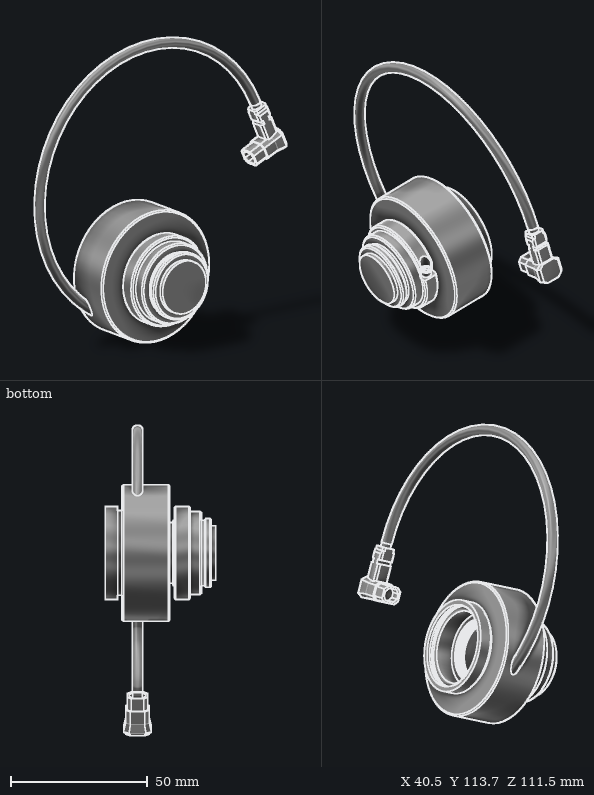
import cadquery as cq
import math


FRONT_COLLAR_END = 4.5
HOUSING_START = 6.1
HOUSING_END = 23.7
NECK_END = 24.3
CLAMP_START = 25.2
CLAMP_END = 31.2
REAR_BARREL_END = 35.3
RELIEF_END = 36.3
THREAD_END = 38.9
LENS_END = 40.5

COLLAR_R = 17.0
FRONT_NECK_R = 15.6
HOUSING_R = 25.0
REAR_NECK_R = 11.1
REAR_FLARE_R = 12.0
REAR_BARREL_R = 15.2
RELIEF_R = 12.0
THREAD_R = 12.6
TAIL_R = 10.0
EDGE_CHAMFER = 0.6
FLARE_STEPS = 3

MOUTH_R = 14.9
MOUTH_DEPTH = 3.1
MOUTH_RIM_R = 15.2
MOUTH_RIM_DEPTH = 0.9
UNDERCUT_R = 15.2
UNDERCUT_START = 2.0
BORE_R = 13.4
BORE_DEPTH = 9.9
BAFFLE_R = 11.5
GLASS_R = 10.0
BAFFLE_END = 13.2
BAFFLE_STEPS = 5
GLASS_BULGE = 2.3

SCREW_X = (CLAMP_START + CLAMP_END) / 2
SCREW_Y = 13.4
SCREW_SEAT_Z = 5.8
SCREW_POCKET_D = 4.5
SCREW_HEAD_D = 3.8
SCREW_HEAD_TOP = 8.1
SCREW_SOCKET_D = 2.5
SCREW_SOCKET_SIDES = 6
SCREW_SOCKET_DEPTH = 1.1

CABLE_X = 11.8
CABLE_D = 4.0
CABLE_ARC_R = 52.1
CABLE_CENTRE_Y = 7.3
CABLE_CENTRE_Z = 32.4
CABLE_START_ANGLE = 23.8
CABLE_END_ANGLE = 242.0

SLEEVE_D = 3.8
PLUG_COLLAR_START = 1.6
PLUG_COLLAR_LENGTH = 1.3
PLUG_COLLAR_X = 5.2
GRIP_X = 6.1
GRIP_Y = 5.7
GRIP_CHAMFER = 0.8
GRIP_SHOULDER_LENGTH = 1.1
NOTCH_START = 6.4
NOTCH_WIDTH = 1.5
NOTCH_DEPTH = 1.5
SHELL_BACK_Y = -3.6
SHELL_BACK_CHAMFER = 1.0
SHELL_TAPER_END_Y = 0.8
SHELL_STEP_Y = 5.8
SHELL_TIP_Y = 10.8
SHELL_WIDTH = 10.2
MID_WIDTH = 8.6
TIP_WIDTH = 7.5
SHELL_TOP_Z = 13.6
SHELL_BOTTOM_Z = 21.5
MID_INSET = 0.5
TIP_INSET = 0.8
BEVEL_HEIGHT = 1.4
BEVEL_RUN = 0.2
SOCKET_WALL = 0.8
SOCKET_DEPTH = 3.4


def ring(start, end, radius, front_chamfer=0.0, rear_chamfer=0.0):
    """Solid disc along X with optional chamfers on its two rims."""
    disc = cq.Workplane("YZ").workplane(offset=start).circle(radius).extrude(end - start)
    if front_chamfer:
        disc = disc.faces("<X").chamfer(front_chamfer)
    if rear_chamfer:
        disc = disc.faces(">X").chamfer(rear_chamfer)
    return disc


def stepped_rings(start, end, start_r, end_r, steps):
    """Staircase of discs whose radius goes from start_r to end_r."""
    length = (end - start) / steps
    stairs = cq.Workplane("YZ")
    for i in range(steps):
        radius = start_r + (end_r - start_r) * i / (steps - 1)
        stairs = stairs.union(ring(start + i * length, start + (i + 1) * length, radius))
    return stairs


def lens_barrel():
    barrel = ring(0, FRONT_COLLAR_END, COLLAR_R)
    barrel = barrel.union(ring(FRONT_COLLAR_END, HOUSING_START, FRONT_NECK_R))
    barrel = barrel.union(ring(HOUSING_START, HOUSING_END, HOUSING_R, EDGE_CHAMFER, EDGE_CHAMFER))
    barrel = barrel.union(ring(HOUSING_END, NECK_END, REAR_NECK_R))
    barrel = barrel.union(stepped_rings(NECK_END, CLAMP_START, REAR_NECK_R, REAR_FLARE_R, FLARE_STEPS))
    barrel = barrel.union(ring(CLAMP_START, CLAMP_END, COLLAR_R, EDGE_CHAMFER, EDGE_CHAMFER))
    barrel = barrel.union(ring(CLAMP_END, REAR_BARREL_END, REAR_BARREL_R, 0, EDGE_CHAMFER))
    barrel = barrel.union(ring(REAR_BARREL_END, RELIEF_END, RELIEF_R))
    barrel = barrel.union(ring(RELIEF_END, THREAD_END, THREAD_R, EDGE_CHAMFER, EDGE_CHAMFER))
    return barrel.union(ring(THREAD_END, LENS_END, TAIL_R))


def front_opening():
    """Stepped bore that ends on a glass surface that bulges towards the front."""
    mouth = ring(0, MOUTH_DEPTH, MOUTH_R)
    undercut = ring(UNDERCUT_START, MOUTH_DEPTH, UNDERCUT_R)
    mouth_rim = cq.Workplane(
        cq.Solid.makeCone(
            MOUTH_RIM_R, MOUTH_R, MOUTH_RIM_DEPTH, cq.Vector(0, 0, 0), cq.Vector(1, 0, 0)
        )
    )
    bore = ring(MOUTH_DEPTH, BORE_DEPTH, BORE_R)
    baffle = stepped_rings(BORE_DEPTH, BAFFLE_END, BAFFLE_R, GLASS_R, BAFFLE_STEPS)
    glass_sphere_r = (GLASS_R**2 + GLASS_BULGE**2) / (2 * GLASS_BULGE)
    glass_centre_x = BAFFLE_END - GLASS_BULGE + glass_sphere_r
    glass = cq.Workplane("XY").sphere(glass_sphere_r).translate((glass_centre_x, 0, 0))
    opening = mouth.union(mouth_rim).union(undercut).union(bore).union(baffle)
    return opening.cut(glass)


def screw_pocket():
    """Flat seat cut into the clamp ring, rounded on its inner side."""
    seat = cq.Workplane("XY").workplane(offset=SCREW_SEAT_Z).center(SCREW_X, SCREW_Y)
    rounded = seat.circle(SCREW_POCKET_D / 2).extrude(COLLAR_R)
    run_out = COLLAR_R - SCREW_Y
    open_side = seat.rect(CLAMP_END - CLAMP_START, 2 * run_out).extrude(COLLAR_R)
    open_side = open_side.intersect(
        cq.Workplane("XY").box(LENS_END, run_out, 2 * COLLAR_R, centered=(False, False, False))
        .translate((0, SCREW_Y, 0))
    )
    clamp_zone = ring(CLAMP_START, CLAMP_END, COLLAR_R)
    return rounded.union(open_side).intersect(clamp_zone)


def clamp_screw():
    seat = cq.Workplane("XY").workplane(offset=SCREW_SEAT_Z).center(SCREW_X, SCREW_Y)
    head = seat.circle(SCREW_HEAD_D / 2).extrude(SCREW_HEAD_TOP - SCREW_SEAT_Z)
    socket = head.faces(">Z").workplane().polygon(SCREW_SOCKET_SIDES, SCREW_SOCKET_D)
    return socket.cutBlind(-SCREW_SOCKET_DEPTH)


def cable_point(angle):
    """Point of the cable centre line at an angle measured from +Y towards +Z."""
    a = math.radians(angle)
    return (
        CABLE_X,
        CABLE_CENTRE_Y + CABLE_ARC_R * math.cos(a),
        CABLE_CENTRE_Z + CABLE_ARC_R * math.sin(a),
    )


def plug_plane():
    """Frame at the cable end with z pointing away from the cable."""
    a = math.radians(CABLE_START_ANGLE)
    return cq.Plane(
        origin=cable_point(CABLE_START_ANGLE),
        xDir=(1, 0, 0),
        normal=(0, math.sin(a), -math.cos(a)),
    )


def cable():
    middle_angle = (CABLE_START_ANGLE + CABLE_END_ANGLE) / 2
    centre_line = cq.Edge.makeThreePointArc(
        cq.Vector(*cable_point(CABLE_START_ANGLE)),
        cq.Vector(*cable_point(middle_angle)),
        cq.Vector(*cable_point(CABLE_END_ANGLE)),
    )
    path = cq.Workplane(cq.Wire.assembleEdges([centre_line]))
    return cq.Workplane(plug_plane()).circle(CABLE_D / 2).sweep(path)


def shell_section(y, width, inset):
    """Eight-sided outline of the plug shell across its long direction."""
    half = width / 2
    flat = half - BEVEL_RUN * width
    top = SHELL_TOP_Z + inset
    bottom = SHELL_BOTTOM_Z - inset
    corners = [
        (-flat, top), (flat, top), (half, top + BEVEL_HEIGHT), (half, bottom - BEVEL_HEIGHT),
        (flat, bottom), (-flat, bottom), (-half, bottom - BEVEL_HEIGHT), (-half, top + BEVEL_HEIGHT),
    ]
    return cq.Wire.makePolygon([cq.Vector(x, y, z) for x, z in corners], close=True)


def shell_piece(start, end):
    """Straight-sided solid between two (y, width, inset) sections."""
    return cq.Workplane(cq.Solid.makeLoft([shell_section(*start), shell_section(*end)], True))


def plug_shell():
    full_y = SHELL_BACK_Y + SHELL_BACK_CHAMFER
    back_width = SHELL_WIDTH - 2 * SHELL_BACK_CHAMFER
    back = shell_piece((SHELL_BACK_Y, back_width, 0), (full_y, SHELL_WIDTH, 0))
    taper = shell_piece((full_y, SHELL_WIDTH, 0), (SHELL_TAPER_END_Y, MID_WIDTH, MID_INSET))
    middle = shell_piece((SHELL_TAPER_END_Y, MID_WIDTH, MID_INSET), (SHELL_STEP_Y, MID_WIDTH, MID_INSET))
    tip = shell_piece((SHELL_STEP_Y, TIP_WIDTH, TIP_INSET), (SHELL_TIP_Y, TIP_WIDTH, TIP_INSET))
    socket_width = TIP_WIDTH - 2 * SOCKET_WALL
    socket_inset = TIP_INSET + SOCKET_WALL
    socket = shell_piece(
        (SHELL_TIP_Y - SOCKET_DEPTH, socket_width, socket_inset), (SHELL_TIP_Y, socket_width, socket_inset)
    )
    return back.union(taper).union(middle).union(tip).cut(socket)


def plug_grip():
    """Sleeve, collar and notched grip between the cable and the shell."""
    sleeve = cq.Workplane("XY").circle(SLEEVE_D / 2).extrude(PLUG_COLLAR_START)
    grip_start = PLUG_COLLAR_START + PLUG_COLLAR_LENGTH
    collar = (
        cq.Workplane("XY").workplane(offset=PLUG_COLLAR_START).rect(PLUG_COLLAR_X, GRIP_Y)
        .extrude(PLUG_COLLAR_LENGTH).edges("|Z").chamfer(GRIP_CHAMFER)
    )
    grip = (
        cq.Workplane("XY").workplane(offset=grip_start).rect(GRIP_X, GRIP_Y)
        .extrude(SHELL_TOP_Z + BEVEL_HEIGHT - grip_start).edges("|Z").chamfer(GRIP_CHAMFER)
        .faces("<Z").edges("|Y").chamfer((GRIP_X - PLUG_COLLAR_X) / 2, GRIP_SHOULDER_LENGTH)
    )
    for side in (-1, 1):
        notch = cq.Workplane("XY").box(GRIP_X, 2 * NOTCH_DEPTH, NOTCH_WIDTH)
        grip = grip.cut(notch.translate((0, side * GRIP_Y / 2, NOTCH_START + NOTCH_WIDTH / 2)))
    return sleeve.union(collar).union(grip)


def plug():
    local = plug_shell().union(plug_grip())
    return cq.Workplane(local.val().moved(cq.Location(plug_plane())))


lens = lens_barrel().cut(front_opening()).cut(screw_pocket()).union(clamp_screw())
result = lens.union(cable()).union(plug())